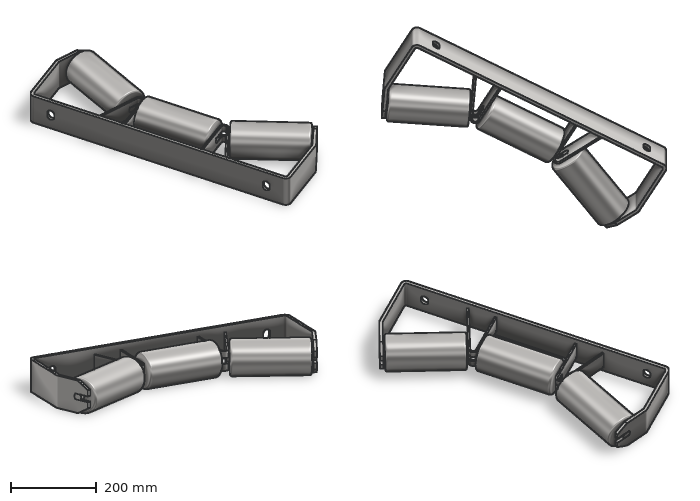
import cadquery as cq
import math


FRAME_LENGTH = 680.0
FRAME_WIDTH = 80.0
STRIP_THICKNESS = 8.0
BASE_BEND_OUTER_RADIUS = 13.5
WING_BEND_HEIGHT = 141.5
WING_BEND_OUTER_RADIUS = 15.0
WING_ANGLE = 25.0
WING_LENGTH = 91.0
SEAT_DISTANCE = 61.0
WING_TIP_WIDTH = 45.0
MOUNT_HOLE_SPACING = 564.5
MOUNT_HOLE_LENGTH = 26.5
MOUNT_HOLE_WIDTH = 18.5

ROLLER_DIAMETER = 89.0
ROLLER_LENGTH = 190.5
ROLLER_EDGE_RADIUS = 5.5
SHAFT_DIAMETER = 20.0
SHAFT_FLATS = 14.0
FLAT_CLEARANCE = 1.5
BRACKET_GAP = 4.0
WING_GAP = 4.0
MIDDLE_AXIS_HEIGHT = 100.5

BRACKET_WIDTH = 49.0
BRACKET_THICKNESS = 5.0
BRACKET_BEND_OUTER_RADIUS = 11.5
BRACKET_BEND_HEIGHT = 117.5

SIN = math.sin(math.radians(WING_ANGLE))
COS = math.cos(math.radians(WING_ANGLE))
SIDE_X = -FRAME_LENGTH / 2
SEAT = (SIDE_X + SEAT_DISTANCE * SIN, WING_BEND_HEIGHT + SEAT_DISTANCE * COS)
BRACKET_FACE_X = -(ROLLER_LENGTH / 2 + BRACKET_GAP)
BEND_CENTRE = (BRACKET_FACE_X - BRACKET_BEND_OUTER_RADIUS, BRACKET_BEND_HEIGHT)
BRACKET_BEND_INNER_RADIUS = BRACKET_BEND_OUTER_RADIUS - BRACKET_THICKNESS

SEAT_TO_BEND = (BEND_CENTRE[0] - SEAT[0]) * COS - (BEND_CENTRE[1] - SEAT[1]) * SIN

TILTED = cq.Location(cq.Plane(origin=(*SEAT, 0), xDir=(COS, -SIN, 0), normal=(0, 0, 1)))


def shaft_bar(start, end):
    """Round bar along X with two flats facing +Z and -Z."""
    length = end - start
    bar = cq.Workplane("YZ", origin=(start, 0, 0)).circle(SHAFT_DIAMETER / 2).extrude(length)
    flats = cq.Workplane("YZ", origin=(start, 0, 0)).rect(SHAFT_DIAMETER, SHAFT_FLATS).extrude(length)
    return bar.intersect(flats)


def shaft_slot(start, end, depth):
    """Slot cutter that seats the shaft at its bottom and runs out along +Y."""
    mouth = (
        cq.Workplane("YZ", origin=(start, 0, 0))
        .center(depth / 2, 0)
        .rect(depth, SHAFT_FLATS)
        .extrude(end - start)
    )
    return shaft_bar(start, end).union(mouth)


def mirrored(body):
    return body.mirror("YZ")


def place(body, location):
    return cq.Workplane(body.val().moved(location))


def make_frame():
    half_turn_tan = math.tan(math.radians(WING_ANGLE / 2))
    inner_x = SIDE_X + STRIP_THICKNESS
    base_outer = (SIDE_X, 0)
    base_inner = (inner_x, STRIP_THICKNESS)
    wing_outer = (SIDE_X, WING_BEND_HEIGHT)
    wing_inner = (inner_x, WING_BEND_HEIGHT - STRIP_THICKNESS * half_turn_tan)
    tip_outer = (SIDE_X + WING_LENGTH * SIN, WING_BEND_HEIGHT + WING_LENGTH * COS)
    tip_inner = (tip_outer[0] + STRIP_THICKNESS * COS, tip_outer[1] - STRIP_THICKNESS * SIN)

    half = (
        cq.Workplane("XY")
        .polyline([(0, 0), base_outer, wing_outer, tip_outer, tip_inner, wing_inner, base_inner,
                   (0, STRIP_THICKNESS)])
        .close()
        .extrude(FRAME_WIDTH / 2, both=True)
    )
    bends = [
        (base_outer, BASE_BEND_OUTER_RADIUS),
        (base_inner, BASE_BEND_OUTER_RADIUS - STRIP_THICKNESS),
        (wing_outer, WING_BEND_OUTER_RADIUS),
        (wing_inner, WING_BEND_OUTER_RADIUS - STRIP_THICKNESS),
    ]
    for corner, radius in bends:
        half = half.edges(cq.NearestToPointSelector((*corner, 0))).fillet(radius)

    tip_distance = WING_LENGTH - SEAT_DISTANCE
    for side in (1, -1):
        corner_cut = (
            cq.Workplane("YZ")
            .polyline([(0, side * FRAME_WIDTH / 2), (tip_distance, side * FRAME_WIDTH / 2),
                       (tip_distance, side * WING_TIP_WIDTH / 2)])
            .close()
            .extrude(STRIP_THICKNESS)
        )
        half = half.cut(place(corner_cut, TILTED))

    half = half.cut(place(shaft_slot(0, STRIP_THICKNESS, WING_LENGTH), TILTED))

    mount_hole = (
        cq.Workplane("XZ", origin=(-MOUNT_HOLE_SPACING / 2, STRIP_THICKNESS, 0))
        .slot2D(MOUNT_HOLE_LENGTH, MOUNT_HOLE_WIDTH, 90)
        .extrude(STRIP_THICKNESS)
    )
    half = half.cut(mount_hole)
    return half.union(mirrored(half)).clean()


def make_bracket():
    """Left bracket: an upright leg, a bend and a leaning leg that stands on the base on one corner."""
    centre_x, centre_y = BEND_CENTRE

    def on_bend(radius, degrees):
        angle = math.radians(degrees)
        return (centre_x + radius * math.cos(angle), centre_y + radius * math.sin(angle))

    outer = BRACKET_BEND_OUTER_RADIUS
    inner = BRACKET_BEND_INNER_RADIUS
    lean_end = 180 - WING_ANGLE
    lean_outer = on_bend(outer, lean_end)
    lean_inner = on_bend(inner, lean_end)
    lean_length = (lean_inner[1] - STRIP_THICKNESS) / COS
    foot_outer = (lean_outer[0] - lean_length * SIN, lean_outer[1] - lean_length * COS)
    foot_inner = (lean_inner[0] - lean_length * SIN, STRIP_THICKNESS)

    strip = (
        cq.Workplane("XY")
        .moveTo(centre_x + outer, STRIP_THICKNESS)
        .lineTo(*on_bend(outer, 0))
        .threePointArc(on_bend(outer, lean_end / 2), lean_outer)
        .lineTo(*foot_outer)
        .lineTo(*foot_inner)
        .lineTo(*lean_inner)
        .threePointArc(on_bend(inner, lean_end / 2), on_bend(inner, 0))
        .lineTo(centre_x + inner, STRIP_THICKNESS)
        .close()
        .extrude(BRACKET_WIDTH / 2, both=True)
    )
    slot_depth = BRACKET_BEND_HEIGHT
    upright_slot = shaft_slot(centre_x, BRACKET_FACE_X, slot_depth)
    lean_slot = shaft_slot(SEAT_TO_BEND - outer, SEAT_TO_BEND, slot_depth)
    return strip.cut(upright_slot.translate((0, MIDDLE_AXIS_HEIGHT, 0))).cut(place(lean_slot, TILTED))


def make_roller(start_gap, start_seat, end_gap, end_seat):
    """Roller along X whose shaft starts at X = 0; the necks are round and the tips have flats."""
    roller_start = start_seat + start_gap
    shaft_end = roller_start + ROLLER_LENGTH + end_gap + end_seat
    neck_start = start_seat + FLAT_CLEARANCE
    neck_end = shaft_end - end_seat - FLAT_CLEARANCE
    shell = (
        cq.Workplane("YZ", origin=(roller_start, 0, 0))
        .circle(ROLLER_DIAMETER / 2)
        .extrude(ROLLER_LENGTH)
        .edges()
        .fillet(ROLLER_EDGE_RADIUS)
    )
    neck = (
        cq.Workplane("YZ", origin=(neck_start, 0, 0))
        .circle(SHAFT_DIAMETER / 2)
        .extrude(neck_end - neck_start)
    )
    start_tip = shaft_bar(0, neck_start)
    end_tip = shaft_bar(neck_end, shaft_end)
    return shell.union(neck).union(start_tip).union(end_tip)


def make_middle_roller():
    roller = make_roller(BRACKET_GAP, BRACKET_THICKNESS, BRACKET_GAP, BRACKET_THICKNESS)
    shaft_start_x = BRACKET_FACE_X - BRACKET_THICKNESS
    return place(roller, cq.Location(cq.Vector(shaft_start_x, MIDDLE_AXIS_HEIGHT, 0)))


def make_left_roller():
    lean_face = SEAT_TO_BEND - BRACKET_BEND_OUTER_RADIUS
    lean_gap = lean_face - (STRIP_THICKNESS + WING_GAP + ROLLER_LENGTH)
    return place(make_roller(WING_GAP, STRIP_THICKNESS, lean_gap, BRACKET_THICKNESS), TILTED)


frame = make_frame()
middle_roller = make_middle_roller()
bodies = [frame, middle_roller]
for left_body in (make_bracket(), make_left_roller()):
    bodies += [left_body, mirrored(left_body)]

result = cq.Compound.makeCompound([body.val() for body in bodies])